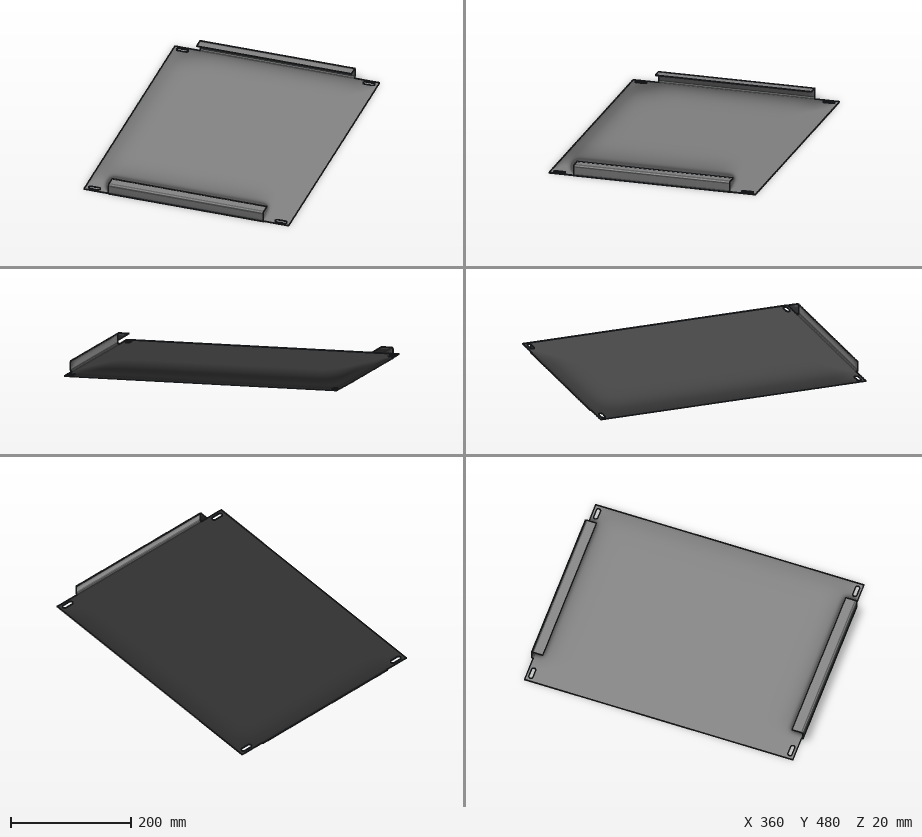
import cadquery as cq

width = 360.0
length = 480.0
height = 20.0
thickness = 1.5

flange_width = 272.0
lip_depth = 20.0
bend_radius = 3.5
inner_radius = bend_radius - thickness

slot_length = 20.5
slot_width = 7.0
slot_spacing_x = 328.0
slot_spacing_y = 457.0

plate_length = length - 2 * bend_radius


def make_plate():
    """Flat sheet with its underside on Z = 0 and a slot through each corner."""
    plate = cq.Workplane("XY").box(width, plate_length, thickness, centered=(True, True, False))
    slots = (
        cq.Workplane("XY")
        .rarray(slot_spacing_x, slot_spacing_y, 2, 2)
        .slot2D(slot_length, slot_width)
        .extrude(thickness)
    )
    return plate.cut(slots)


def make_flange():
    """C-shaped fold at the +Y edge: bend, upright wall, bend and inward lip."""
    outer_y = length / 2
    bend_y = plate_length / 2
    lip_y = outer_y - lip_depth
    return (
        cq.Workplane("YZ")
        .moveTo(bend_y, 0)
        .radiusArc((outer_y, bend_radius), -bend_radius)
        .lineTo(outer_y, height - bend_radius)
        .radiusArc((bend_y, height), -bend_radius)
        .lineTo(lip_y, height)
        .lineTo(lip_y, height - thickness)
        .lineTo(bend_y, height - thickness)
        .radiusArc((outer_y - thickness, height - bend_radius), inner_radius)
        .lineTo(outer_y - thickness, bend_radius)
        .radiusArc((bend_y, thickness), inner_radius)
        .close()
        .extrude(flange_width / 2, both=True)
    )


flange = make_flange()
result = make_plate().union(flange).union(flange.mirror("XZ"))